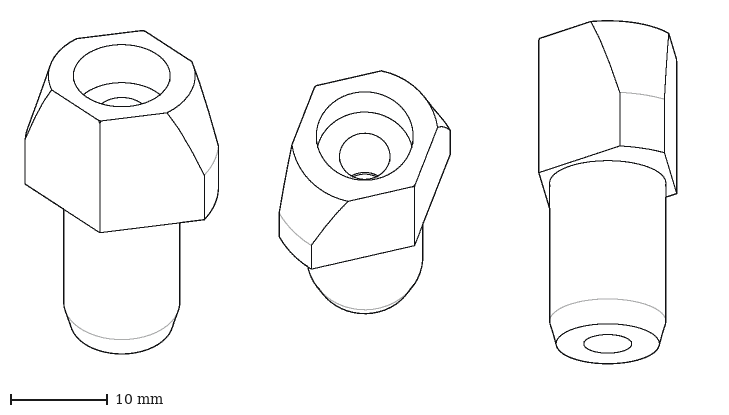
import cadquery as cq
import math

total_height = 33.0
head_height = 15.0
head_width = 20.0
head_depth = 15.3
flat_end_width = 4.95
head_straight_height = 6.0

shank_diameter = 12.0
tip_height = 2.5
taper_angle = math.radians(15)

counterbore_diameter = 10.0
counterbore_depth = 5.1
bore_diameter = 4.95
upper_bore_diameter = 5.2

shank_height = total_height - head_height
head_radius = head_width / 2
head_top_radius = head_radius - (head_height - head_straight_height) * math.tan(taper_angle)
shank_radius = shank_diameter / 2
tip_radius = shank_radius - tip_height * math.tan(taper_angle)


def make_head():
    """Diamond prism trimmed by a cylinder that tapers toward the top."""
    end_half_width = flat_end_width / 2
    end_x = math.sqrt(head_radius**2 - end_half_width**2)
    corner_y = head_depth / 2
    corner_x = end_x * corner_y / (corner_y - end_half_width)
    diamond = (
        cq.Workplane("XY", origin=(0, 0, shank_height))
        .polyline([(corner_x, 0), (0, corner_y), (-corner_x, 0), (0, -corner_y)])
        .close()
        .extrude(head_height)
    )
    envelope = (
        cq.Workplane("XZ")
        .moveTo(0, shank_height)
        .lineTo(head_radius, shank_height)
        .lineTo(head_radius, shank_height + head_straight_height)
        .lineTo(head_top_radius, total_height)
        .lineTo(0, total_height)
        .close()
        .revolve(360, (0, 0), (0, 1))
    )
    return diamond.intersect(envelope)


def make_shank():
    """Round shank with a tapered tip."""
    return (
        cq.Workplane("XZ")
        .lineTo(tip_radius, 0)
        .lineTo(shank_radius, tip_height)
        .lineTo(shank_radius, shank_height)
        .lineTo(0, shank_height)
        .close()
        .revolve(360, (0, 0), (0, 1))
    )


def make_bore():
    """Counterbore over a through bore that narrows by a 45 degree cone below the head."""
    bore_radius = bore_diameter / 2
    upper_bore_radius = upper_bore_diameter / 2
    cone_height = upper_bore_radius - bore_radius
    counterbore_radius = counterbore_diameter / 2
    floor_z = total_height - counterbore_depth
    return (
        cq.Workplane("XZ")
        .lineTo(bore_radius, 0)
        .lineTo(bore_radius, shank_height - cone_height)
        .lineTo(upper_bore_radius, shank_height)
        .lineTo(upper_bore_radius, floor_z)
        .lineTo(counterbore_radius, floor_z)
        .lineTo(counterbore_radius, total_height)
        .lineTo(0, total_height)
        .close()
        .revolve(360, (0, 0), (0, 1))
    )


result = make_head().union(make_shank()).cut(make_bore())